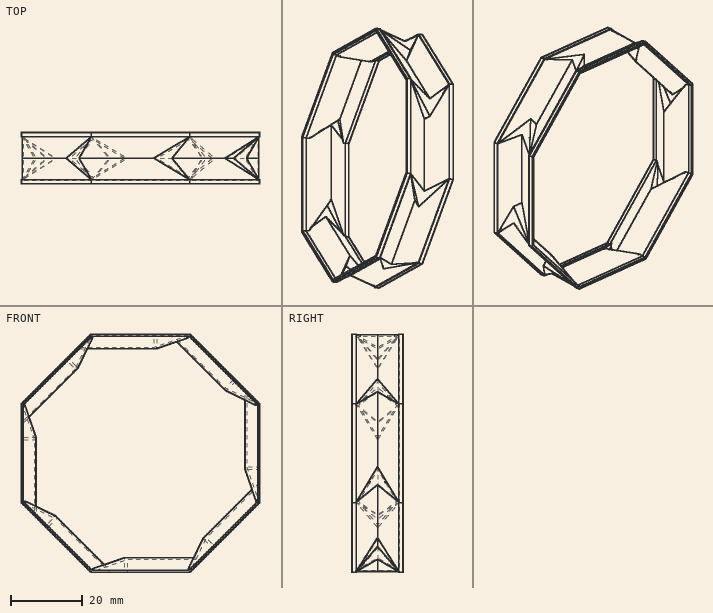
import cadquery as cq
import math

SIDES = 8
ACROSS_FLATS = 66.8
RING_WIDTH = 14.4
RIM_WIDTH = 1.2
RIM_STEP = 0.2
SHEET = 0.4
GROOVE_ANGLE = 30.0
GROOVE_TIP_X = 3.75
OVERRUN = 6.7

apothem = ACROSS_FLATS / 2
panel_apothem = apothem - RIM_STEP
inner_apothem = panel_apothem - SHEET
turn = 360.0 / SIDES
corner_ratio = math.tan(math.radians(turn / 2))
panel_corner_x = panel_apothem * corner_ratio
start_x = -panel_corner_x - OVERRUN

groove_half_width = RING_WIDTH / 2 - RIM_WIDTH
flank = math.radians(GROOVE_ANGLE)
end_slope = (panel_corner_x - GROOVE_TIP_X) / groove_half_width
end_angle = math.atan(1 / end_slope)


def octagon(half_flats, width):
    """Octagonal prism along Y with flats facing X and Z."""
    corner_radius = half_flats / math.cos(math.radians(turn / 2))
    prism = cq.Workplane("XZ").polygon(SIDES, 2 * corner_radius).extrude(width / 2, both=True)
    return prism.rotate((0, 0, 0), (0, 1, 0), turn / 2)


def wedge(half_width, tip_x):
    """V-shaped bar under the top panel, ending in a V notch that opens towards the corner."""
    bottom_z = panel_apothem - half_width * math.tan(flank)
    end_x = tip_x + half_width * end_slope
    bar = (
        cq.Workplane("YZ", origin=(start_x, 0, 0))
        .polyline([(-half_width, panel_apothem), (half_width, panel_apothem), (0, bottom_z)])
        .close()
        .extrude(end_x - start_x)
    )
    plan = (
        cq.Workplane("XY")
        .polyline([
            (start_x, -half_width),
            (end_x, -half_width),
            (tip_x, 0),
            (end_x, half_width),
            (start_x, half_width),
        ])
        .close()
        .extrude(apothem)
    )
    return bar.intersect(plan)


def around(body):
    """Copies of a top-panel body, one for each side of the ring."""
    return [body.rotate((0, 0, 0), (0, 1, 0), i * turn) for i in range(SIDES)]


ring = octagon(apothem, RING_WIDTH).cut(octagon(inner_apothem, RING_WIDTH))
panel_core = octagon(panel_apothem, 2 * groove_half_width)
ring = ring.cut(octagon(apothem, 2 * groove_half_width).cut(panel_core))

groove = wedge(groove_half_width, GROOVE_TIP_X)
ridge = wedge(groove_half_width + SHEET / math.sin(flank), GROOVE_TIP_X + SHEET / math.sin(end_angle))

panel_envelope = octagon(panel_apothem, RING_WIDTH)
for body in around(ridge):
    ring = ring.union(body.intersect(panel_envelope))

for body in around(groove):
    ring = ring.cut(body)

result = ring